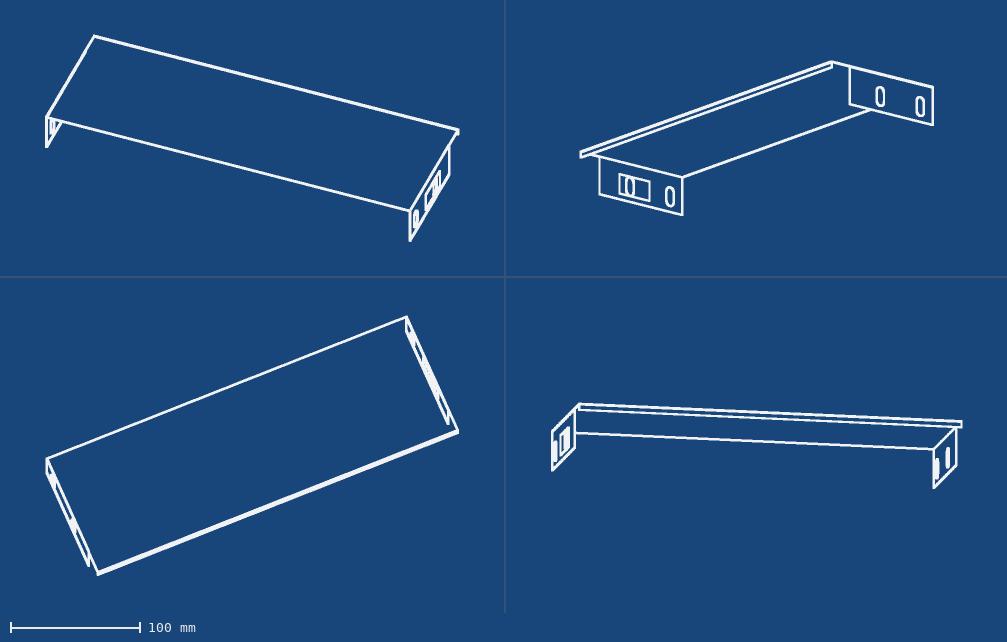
import cadquery as cq

overall_length = 301.5
depth = 102.0
height = 30.8

sheet = 0.5
pad_thickness = 0.3
panel_length = overall_length - pad_thickness

lip_height = 4.8
flange_depth = 83.2

slot_width = 7.2
slot_height = 15.0
slot_drop = 18.5
first_slot_y = 12.5
slot_pitch = 40.0
slot_count = 2

pad_width = 30.2
pad_height = 15.7
pad_center_y = 47.7
pad_drop = 18.0


def corner_box(length, width, tall, corner):
    """Box extending in the positive directions from its lowest corner."""
    return cq.Workplane("XY").box(length, width, tall, centered=False).translate(corner)


def slot_cutters():
    """Round-ended slots running along X through both flanges and the pad."""
    centers = [(first_slot_y + i * slot_pitch, -slot_drop) for i in range(slot_count)]
    return (
        cq.Workplane("YZ")
        .pushPoints(centers)
        .slot2D(slot_height, slot_width, 90)
        .extrude(overall_length)
    )


top_panel = corner_box(panel_length, depth, sheet, (0, 0, -sheet))
rear_lip = corner_box(panel_length, sheet, lip_height, (0, depth - sheet, -lip_height))
result = top_panel.union(rear_lip)

for flange_x in (0, panel_length - sheet):
    flange = corner_box(sheet, flange_depth, height, (flange_x, 0, -height))
    result = result.union(flange)

pad_corner = (panel_length, pad_center_y - pad_width / 2, -pad_drop - pad_height / 2)
pad = corner_box(pad_thickness, pad_width, pad_height, pad_corner)
result = result.union(pad).cut(slot_cutters())